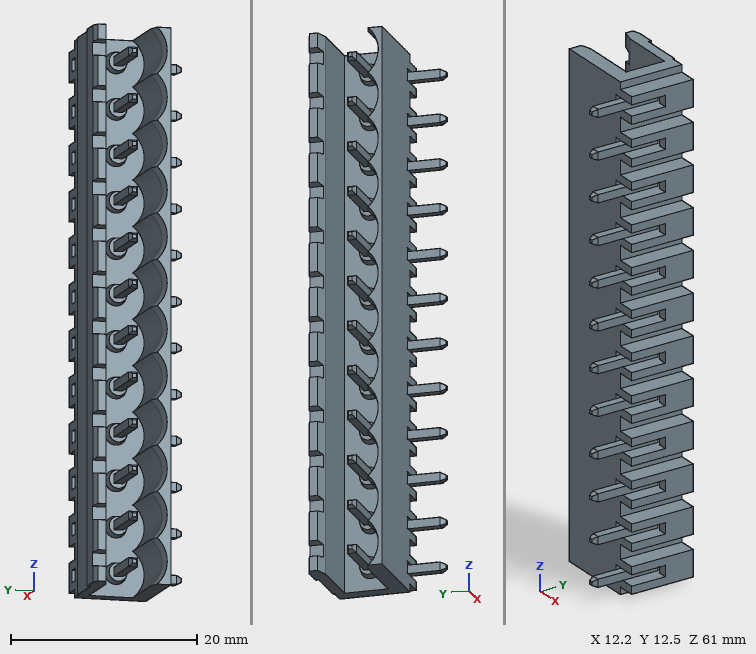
import cadquery as cq
import math

positions = 12
length = 60.95
pitch = length / positions
centers = [(i + 0.5) * pitch for i in range(positions)]

body_back = 10.0
fin_back = 12.2
cavity_depth = 8.2
rear_top = 7.9
wall_top = 8.1
rib_top = 8.5
rib_end = 3.2
rib_mouth_top = 8.15
rib_ramp = 0.85
lip_inner = 6.8
lip_mouth = 7.25
lip_chamfer = 1.5

pin_y = 3.85
scallop_radius = 3.2
mouth_radius = 3.4
mouth_depth = 1.2

notch_depth = 1.1
notch_mouth = 1.75
notch_floor = 1.4

fin_width = 3.3
slot_width = 1.35
slot_front = 9.1
vent_back = 11.1

overall_depth = 12.5
pin_size = 1.0
pin_tip_size = 0.4
pin_tip_x = 0.85
pin_taper = 0.6
leg_x = 10.3
leg_end = rib_top - overall_depth
collar_height = 1.0
collar_base = 2.4
collar_top = 2.0

slot_depth = pin_y + pin_size / 2
leg_front = leg_x - pin_size / 2
leg_back = leg_x + pin_size / 2


def block(x0, x1, y0, y1, z0, z1):
    return cq.Workplane("XY").box(x1 - x0, y1 - y0, z1 - z0, centered=False).translate((x0, y0, z0))


def housing():
    """Channel walls and back, with the ramped latch rib along the upper lip."""
    return (
        cq.Workplane("XY")
        .polyline([
            (0, 0),
            (body_back, 0),
            (body_back, rear_top),
            (cavity_depth, rear_top),
            (cavity_depth, wall_top),
            (rib_end, wall_top),
            (rib_end, rib_top),
            (rib_ramp, rib_top),
            (0, rib_mouth_top),
            (0, lip_mouth),
            (lip_chamfer, lip_inner),
            (cavity_depth, lip_inner),
            (cavity_depth, pin_y),
            (0, pin_y),
        ])
        .close()
        .extrude(length)
    )


def scallop(z):
    """Half-round pocket below the contact axis, flared at its mouth."""
    profile = [
        (0, 0),
        (0, mouth_radius),
        (mouth_depth, scallop_radius),
        (cavity_depth, scallop_radius),
        (cavity_depth, 0),
    ]
    pocket = cq.Workplane("XY").polyline(profile).close().revolve(360, (0, 0, 0), (1, 0, 0))
    lower_half = block(0, cavity_depth, -mouth_radius, 0, -mouth_radius, mouth_radius)
    return pocket.intersect(lower_half).translate((0, pin_y, z))


def fin(z):
    return block(body_back, fin_back, 0, rear_top, z - fin_width / 2, z + fin_width / 2)


def leg_slot(z):
    """Slot around the leg, open to -Y and the rear, with a narrower vent through to +Y."""
    low = z - slot_width / 2
    high = z + slot_width / 2
    slot = block(slot_front, fin_back, 0, slot_depth, low, high)
    vent = block(leg_front, vent_back, 0, rear_top, low, high)
    return slot.union(vent)


def lip_notch(z):
    return (
        cq.Workplane("XZ", origin=(0, rib_top, 0))
        .polyline([
            (0, z - notch_mouth / 2),
            (notch_depth, z - notch_floor / 2),
            (notch_depth, z + notch_floor / 2),
            (0, z + notch_mouth / 2),
        ])
        .close()
        .extrude(rib_top - lip_inner)
    )


def taper_angle(start, end, height):
    return math.degrees(math.atan((start - end) / 2 / height))


def contact(z):
    """L-shaped square pin with tapered tips and a conical collar at the cavity floor."""
    half = pin_size / 2
    shaft_start = pin_tip_x + pin_taper
    leg_start = leg_end + pin_taper
    tip_angle = taper_angle(pin_size, pin_tip_size, pin_taper)
    collar_angle = taper_angle(collar_base, collar_top, collar_height)

    shaft = block(shaft_start, leg_back, pin_y - half, pin_y + half, z - half, z + half)
    leg = block(leg_front, leg_back, leg_start, pin_y + half, z - half, z + half)
    shaft_tip = (
        cq.Workplane("YZ", origin=(shaft_start, pin_y, z))
        .rect(pin_size, pin_size)
        .extrude(-pin_taper, taper=tip_angle)
    )
    leg_tip = (
        cq.Workplane("XZ", origin=(leg_x, leg_start, z))
        .rect(pin_size, pin_size)
        .extrude(pin_taper, taper=tip_angle)
    )
    collar = (
        cq.Workplane("YZ", origin=(cavity_depth, pin_y, z))
        .circle(collar_base / 2)
        .extrude(-collar_height, taper=collar_angle)
    )
    return shaft.union(leg).union(shaft_tip).union(leg_tip).union(collar)


result = housing()
for center in centers:
    result = result.union(fin(center))
for center in centers:
    result = result.cut(scallop(center)).cut(leg_slot(center)).cut(lip_notch(center))
for center in centers:
    result = result.union(contact(center))